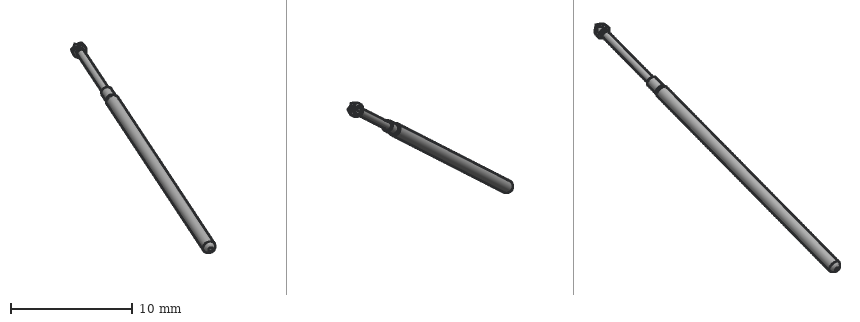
import cadquery as cq
import math


flute_count = 6
head_diameter = 1.17
head_length = 1.14
ridge_half_angle = 45.0
valley_half_angle = 32.0

plunger_diameter = 0.66
neck_diameter = 0.68
neck_end = 1.35

collar_start = 7.62
collar_diameter = 0.94
groove_start = 8.82
groove_diameter = 0.89
barrel_start = 9.02
barrel_diameter = 1.09

overall_length = 33.02
dome_length = 0.36
dome_arc_radius = 0.5
end_flat_diameter = 0.38


def round_section(start, end, diameter):
    """Cylinder along X between two stations."""
    return cq.Workplane("YZ", origin=(start, 0, 0)).circle(diameter / 2).extrude(end - start)


def star_pyramid(length):
    """Pyramid with its apex at the origin and a star base; one ridge points along +Y."""
    apex = cq.Vector(0, 0, 0)
    half_angles = (ridge_half_angle, valley_half_angle)
    corner_count = 2 * flute_count
    corners = []
    for i in range(corner_count):
        radius = length * math.tan(math.radians(half_angles[i % 2]))
        turn = 2 * math.pi * i / corner_count
        corners.append(cq.Vector(length, radius * math.cos(turn), radius * math.sin(turn)))

    faces = [cq.Face.makeFromWires(cq.Wire.makePolygon(corners, close=True))]
    for i in range(corner_count):
        triangle = [apex, corners[i - 1], corners[i]]
        faces.append(cq.Face.makeFromWires(cq.Wire.makePolygon(triangle, close=True)))
    return cq.Workplane(cq.Solid.makeSolid(cq.Shell.makeShell(faces)))


def star_head():
    """Head cylinder sharpened to a fluted point."""
    return round_section(0, head_length, head_diameter).intersect(star_pyramid(head_length))


def plunger():
    """Thin shaft from the head to the collar."""
    neck = round_section(head_length, neck_end, neck_diameter)
    return neck.union(round_section(neck_end, collar_start, plunger_diameter))


def barrel():
    """Barrel with a square front face and a domed rear end."""
    radius = barrel_diameter / 2
    return (
        cq.Workplane("XY")
        .moveTo(barrel_start, 0)
        .lineTo(barrel_start, radius)
        .lineTo(overall_length - dome_length, radius)
        .radiusArc((overall_length, end_flat_diameter / 2), dome_arc_radius)
        .lineTo(overall_length, 0)
        .close()
        .revolve(360, (0, 0, 0), (1, 0, 0))
    )


collar = round_section(collar_start, groove_start, collar_diameter)
groove_core = round_section(groove_start, barrel_start, groove_diameter)
result = star_head().union(plunger()).union(collar).union(groove_core).union(barrel())